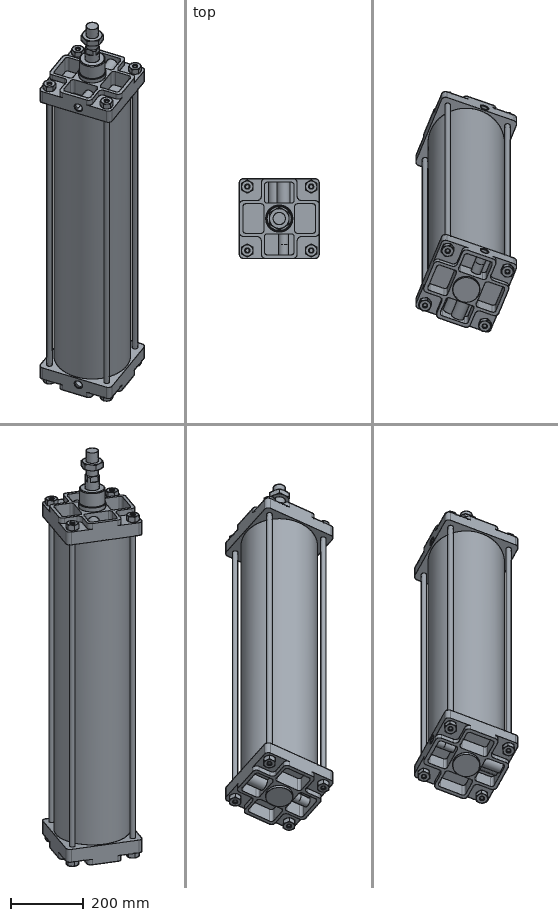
import cadquery as cq
import math

head_side = 220.0
head_half = head_side / 2
head_corner_radius = 12.0
flange_height = 8.0
flange_diameter = 75.0
head_thickness = 55.0
corner_step = 17.0
head_base_thickness = head_thickness - corner_step
arm_half_width = 49.0
arm_outer_radius = 12.0
arm_inner_radius = 12.0
edge_tolerance = 0.1

pocket_half_width = 41.0
pocket_inner = 42.0
pocket_outer = 100.0
pocket_depth = 47.0
pocket_corner_radius = 8.0

port_diameter = 22.0
port_offset = 12.0
port_depth = 38.0
port_chamfer = 1.8
port_height = 20.0
port_boss_diameter = 28.0
valve_boss_diameter = 36.0
high_valve_height = 26.0
low_valve_height = 7.0

barrel_diameter = 210.0
barrel_bottom = flange_height + head_thickness
barrel_top = 979.0
barrel_length = barrel_top - barrel_bottom
tie_rod_diameter = 16.0
tie_rod_offset = 88.0
tie_nut_flats = 31.0
tie_nut_height = corner_step
tie_nut_chamfer = 1.8
tie_nut_recess_diameter = 11.0
tie_nut_mouth_chamfer = 1.8
tie_nut_recess_depth = 4.0

head_top = barrel_top + head_thickness
collar_height = 15.0
bushing_diameter = 71.0
bushing_top = 1091.0
bushing_chamfer = 2.0
collar_chamfer = 2.0

total_length = 1203.0
rod_diameter = 40.0
rod_shoulder = 1115.0
thread_diameter = 34.0
thread_start = 1132.0
shoulder_chamfer = (rod_diameter - thread_diameter) / 2
rod_flats = 34.0
nut_flats = 54.0
nut_bottom = 1154.0
nut_height = 18.0
nut_chamfer = 1.8


def cylinder(diameter, bottom, top):
    """Upright cylinder on the Z axis."""
    return cq.Workplane("XY").workplane(offset=bottom).circle(diameter / 2).extrude(top - bottom)


def hexagon(flats, bottom, height, chamfer):
    """Hexagonal prism with corners on the Y axis; cones take the corners off both end faces."""
    corner_radius = flats / math.sqrt(3)
    top = bottom + height
    prism = (
        cq.Workplane("XY").workplane(offset=bottom)
        .polygon(6, 2 * corner_radius).extrude(height)
        .rotate((0, 0, 0), (0, 0, 1), 90)
    )
    profile = [(0, bottom), (flats / 2, bottom), (corner_radius, bottom + chamfer),
               (corner_radius, top - chamfer), (flats / 2, top), (0, top)]
    limit = cq.Workplane("XZ").polyline(profile).close().revolve(360, (0, 0, 0), (0, 1, 0))
    return prism.intersect(limit)


def at_arm_end(edge):
    """True for an edge on one of the four outer sides of a head."""
    center = edge.Center()
    return math.isclose(max(abs(center.x), abs(center.y)), head_half, abs_tol=edge_tolerance)


def cross_boss(bottom, height):
    """Plus-shaped block with rounded arm ends and rounded inner corners."""
    long_arm = cq.Workplane("XY").workplane(offset=bottom).rect(head_side, 2 * arm_half_width).extrude(height)
    cross = long_arm.union(long_arm.rotate((0, 0, 0), (0, 0, 1), 90))
    cross = cross.edges("|Z").filter(lambda edge: not at_arm_end(edge)).fillet(arm_inner_radius)
    return cross.edges("|Z").filter(at_arm_end).fillet(arm_outer_radius)


def along_y(diameter, x, y_start, y_end, z):
    """Round bar parallel to the Y axis."""
    return (
        cq.Workplane("XZ", origin=(x, y_start, z))
        .circle(diameter / 2).extrude(y_start - y_end)
    )


def head_block():
    """Square plate with a cross on its outer face and a pocket in each arm."""
    block = (
        cq.Workplane("XY").rect(head_side, head_side).extrude(head_base_thickness)
        .edges("|Z").fillet(head_corner_radius)
        .union(cross_boss(head_base_thickness, corner_step))
    )
    pocket = (
        cq.Workplane("XY").workplane(offset=head_thickness - pocket_depth)
        .center((pocket_outer + pocket_inner) / 2, 0)
        .rect(pocket_outer - pocket_inner, 2 * pocket_half_width).extrude(pocket_depth)
        .edges("|Z").fillet(pocket_corner_radius)
    )
    for quarter in range(4):
        block = block.cut(pocket.rotate((0, 0, 0), (0, 0, 1), 90 * quarter))
    return block


def pocket_bosses():
    """Round bosses along Y that cross the front and back pockets, kept above the head's inner face."""
    bosses = [
        along_y(port_boss_diameter, port_offset, -pocket_outer, -pocket_inner, port_height),
        along_y(valve_boss_diameter, port_offset, pocket_inner, pocket_outer, high_valve_height),
        along_y(valve_boss_diameter, -port_offset, pocket_inner, pocket_outer, low_valve_height),
    ]
    head_space = cq.Workplane("XY").rect(head_side, head_side).extrude(head_thickness)
    return [boss.intersect(head_space) for boss in bosses]


def port():
    """Blind port hole in the -Y side with a 45 degree chamfer at its mouth."""
    hole = along_y(port_diameter, port_offset, -head_half, port_depth - head_half, port_height)
    mouth = cq.Workplane("XZ", origin=(port_offset, -head_half, port_height))
    mouth = mouth.circle(port_diameter / 2 + port_chamfer)
    return hole.union(mouth.extrude(-port_chamfer, taper=45))


def tie_nut():
    """Hexagonal tie-rod nut with a shallow chamfered recess in its end."""
    nut_top = head_base_thickness + tie_nut_height
    nut = hexagon(tie_nut_flats, head_base_thickness, tie_nut_height, tie_nut_chamfer)
    nut = nut.cut(cylinder(tie_nut_recess_diameter, nut_top - tie_nut_recess_depth, nut_top))
    mouth = nut.faces(">Z").edges("%CIRCLE").edges(cq.selectors.RadiusNthSelector(0))
    return mouth.chamfer(tie_nut_mouth_chamfer)


def head():
    """Head with its inner face at Z = 0 and its outer face facing +Z."""
    block = head_block()
    for boss in pocket_bosses():
        block = block.union(boss)
    block = block.cut(port())
    nut = tie_nut()
    for x in (-tie_rod_offset, tie_rod_offset):
        for y in (-tie_rod_offset, tie_rod_offset):
            block = block.union(nut.translate((x, y, 0)))
    return block


def cylinder_body():
    """Barrel, heads, tie rods and bushing, with a hole for the piston rod."""
    barrel = cylinder(barrel_diameter, barrel_bottom, barrel_top)
    tie_rods = (
        cq.Workplane("XY").workplane(offset=barrel_bottom)
        .rect(2 * tie_rod_offset, 2 * tie_rod_offset, forConstruction=True).vertices()
        .circle(tie_rod_diameter / 2).extrude(barrel_length)
    )
    top_head = head().translate((0, 0, barrel_top))
    bottom_head = head().mirror("XY").translate((0, 0, barrel_bottom))
    bottom_flange = cylinder(flange_diameter, 0, barrel_bottom)
    collar = cylinder(flange_diameter, barrel_top, head_top + collar_height)
    collar = collar.faces(">Z").chamfer(collar_chamfer)
    bushing = cylinder(bushing_diameter, barrel_top, bushing_top).faces(">Z").chamfer(bushing_chamfer)
    body = barrel
    for piece in (top_head, bottom_head, tie_rods, bottom_flange, collar, bushing):
        body = body.union(piece)
    return body.cut(cylinder(rod_diameter, barrel_top, bushing_top))


def piston_rod():
    """Stepped rod with four wrench flats below its thread."""
    shank = cylinder(rod_diameter, barrel_top, thread_start).faces(">Z").chamfer(shoulder_chamfer)
    flats_height = thread_start - rod_shoulder
    square = cq.Workplane("XY").workplane(offset=rod_shoulder).rect(rod_flats, rod_flats)
    square = square.extrude(flats_height)
    ring = cylinder(rod_diameter, rod_shoulder, thread_start).cut(square)
    return shank.cut(ring).union(cylinder(thread_diameter, rod_shoulder, total_length))


def rod_nut():
    """Hexagonal lock nut on the rod's thread."""
    nut = hexagon(nut_flats, nut_bottom, nut_height, nut_chamfer)
    return nut.cut(cylinder(thread_diameter, nut_bottom, nut_bottom + nut_height))


housing = cylinder_body()
rod = piston_rod()
lock_nut = rod_nut()
result = cq.Compound.makeCompound([housing.val(), rod.val(), lock_nut.val()])